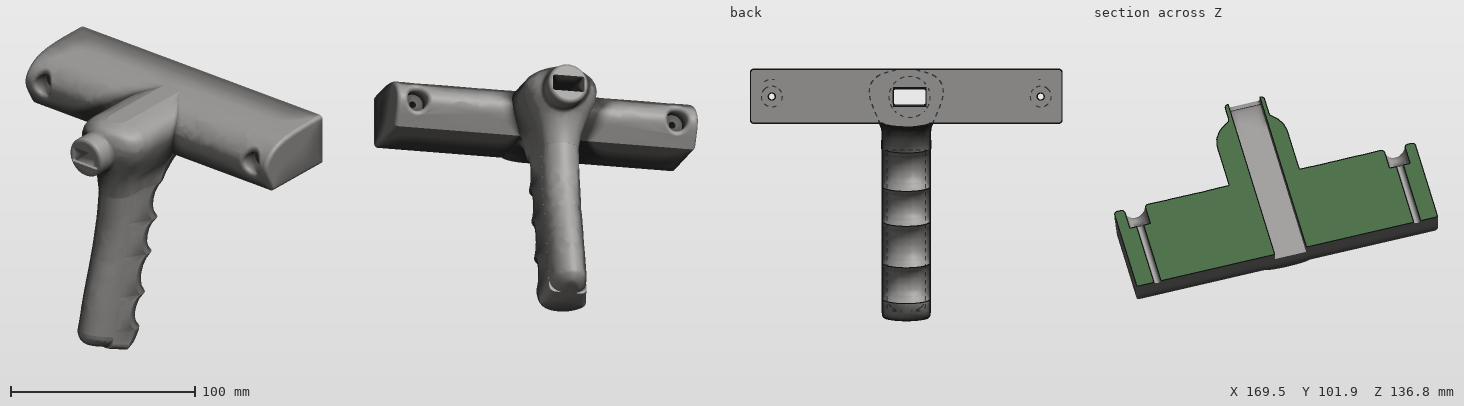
import cadquery as cq
import math


BAR_LENGTH = 169.5
BAR_FLAT_TOP = 6.1
BAR_NOSE_Y = -48.6
BAR_NOSE_Z = -13.9
BAR_CURVE = ((-25.3, -0.5), (-35.0, -2.0), (-44.4, -6.8), (BAR_NOSE_Y, BAR_NOSE_Z), (-46.6, -21.5))
BAR_CORNER = (-42.0, -29.5)
BAR_CORNER_DIRECTION = (0.5, -0.8)
BAR_END_ROUND = 2.0

SCREW_X = 73.0
SCREW_Z = -15.0
SCREW_BORE = 3.7
SCREW_HEAD = 11.4
SCREW_FLOOR_Y = -36.6
SCREW_MOUTH_ROUND = 2.0

HUB_BOTTOM_Z = -44.0
HUB_BOTTOM_BACK_Y = -53.2
HUB_BACK_SLOPE = 0.75
HUB_STATIONS = (
    (HUB_BOTTOM_Z, 10.5, -72.2, 10.0),
    (-36.1, 11.9, -72.2, 10.3),
    (-29.5, 14.2, -72.5, 11.7),
    (-20.3, 18.3, -73.2, 15.1),
    (-14.2, 20.0, -73.7, 15.8),
    (-8.1, 19.3, -73.4, 15.6),
    (-2.7, 13.5, -72.2, 14.5),
    (-0.5, 5.8, -70.9, 6.5),
)

SNOUT_X = -1.9
SNOUT_Z = -15.1
SNOUT_RADIUS = 11.2
SNOUT_BACK_Y = -67.8
SNOUT_FRONT_Y = -98.1
SNOUT_ROUND = 2.2
NECK_ROUND = 2.5
NECK_Y = -86.5
SLOT_WIDTH = 17.6
SLOT_HEIGHT = 8.6
SLOT_CORNER = 1.0
SLOT_LIP = 2.2
CAVITY_HEIGHT = 10.3

GRIP_HALF = 13.0
SPINE_HALF = 10.5
SPINE_TOP_Y = -71.7
SPINE_LEAN = 16.1
SPINE_LEAN_POWER = 1.3
SPINE_BOTTOM_Z = -126.8
SPINE_OVERLAP = 5.1
SPINE_DEPTHS = (10.5, 10.7, 11.4, 12.7, 14.4, 15.5, 15.6, 13.5)
SPINE_SPACING = 12.7

FINGER_ROUND = 12.5
FINGER_TILT = 12.0
RIDGES = ((-40.8, -45.6), (-46.0, -66.5), (-51.0, -85.5), (-56.6, -108.0), (-61.4, -127.5))
GROOVE_DEPTH = 6.1
HEEL_TIP = (-71.7, -136.8)
HEEL_BULGE = 2.0
FAIRING_START = (-15.3, -31.5)
FAIRING_HOLLOW = 3.7
LOFT_STEPS = 6

SOLE_BACK = (-76.6, -136.6)
SOLE_FRONT = (-91.9, -130.9)
SOLE_MIDDLE = (-87.5, -132.5)
SOLE_TOE = (0, -98.3, -128.5)
SOLE_SIDE_ROUND = 3.4
SOLE_NOSE_ROUND = 7.6
SOLE_BLOCK = 101.7


def edges_near(body, centre, reach):
    """Edges whose centres lie within a cube around the given point."""
    low = tuple(value - reach for value in centre)
    high = tuple(value + reach for value in centre)
    return body.edges(cq.selectors.BoxSelector(low, high))


def make_bar():
    profile = (
        cq.Workplane("YZ", origin=(-BAR_LENGTH / 2, 0, 0))
        .moveTo(0, 0)
        .lineTo(-BAR_FLAT_TOP, 0)
        .spline(
            [*BAR_CURVE, BAR_CORNER],
            tangents=[(-1, 0), BAR_CORNER_DIRECTION],
            includeCurrent=True,
        )
        .lineTo(0, BAR_CORNER[1])
        .close()
    )
    bar = profile.extrude(BAR_LENGTH)
    return bar.faces("<X or >X").edges("not >Y").fillet(BAR_END_ROUND)


def cut_screw_hole(body, x):
    plane = cq.Workplane("XZ", origin=(x, 0, SCREW_Z))
    bore = plane.circle(SCREW_BORE / 2).extrude(-SNOUT_FRONT_Y)
    head = (
        plane.workplane(offset=-SCREW_FLOOR_Y)
        .circle(SCREW_HEAD / 2)
        .extrude(SCREW_FLOOR_Y - SNOUT_FRONT_Y)
    )
    body = body.cut(bore).cut(head)
    return edges_near(body, (x, BAR_NOSE_Y, SCREW_Z), SCREW_HEAD / 4).fillet(SCREW_MOUTH_ROUND)


def rounded_section(half_width, shoulder_y, depth, back_y, back_half_width):
    """Outline in the XY plane with straight sides and a half-elliptical nose facing -Y."""
    centre = cq.Vector(0, shoulder_y, 0)
    up = cq.Vector(0, 0, 1)
    if depth > half_width:
        nose = cq.Edge.makeEllipse(depth, half_width, centre, up, cq.Vector(0, -1, 0), -90, 90)
    else:
        nose = cq.Edge.makeEllipse(half_width, depth, centre, up, cq.Vector(-1, 0, 0), 0, 180)
    back_right = cq.Vector(back_half_width, back_y, 0)
    back_left = cq.Vector(-back_half_width, back_y, 0)
    sides = [
        cq.Edge.makeLine(nose.endPoint(), back_right),
        cq.Edge.makeLine(back_right, back_left),
        cq.Edge.makeLine(back_left, nose.startPoint()),
    ]
    return cq.Wire.assembleEdges([nose, *sides])


def make_hub():
    sections = []
    for z, half_width, shoulder_y, depth in HUB_STATIONS:
        back_y = HUB_BOTTOM_BACK_Y + HUB_BACK_SLOPE * (z - HUB_BOTTOM_Z)
        back_half = max(half_width, GRIP_HALF) if z < BAR_NOSE_Z else half_width
        section = rounded_section(half_width, shoulder_y, depth, back_y, back_half)
        sections.append(section.moved(cq.Location(cq.Vector(0, 0, z))))
    return cq.Workplane(cq.Solid.makeLoft(sections))


def add_snout(hub):
    snout = (
        cq.Workplane("XZ", origin=(SNOUT_X, SNOUT_BACK_Y, SNOUT_Z))
        .circle(SNOUT_RADIUS)
        .extrude(SNOUT_BACK_Y - SNOUT_FRONT_Y)
    )
    body = hub.union(snout.faces("<Y").edges().fillet(SNOUT_ROUND))
    return edges_near(body, (SNOUT_X, NECK_Y, SNOUT_Z), SNOUT_RADIUS / 2).fillet(NECK_ROUND)


def make_slot():
    """Through slot with a short mouth in front of a taller cavity."""
    plane = cq.Workplane("XZ", origin=(SNOUT_X, 0, SNOUT_Z))
    mouth = plane.rect(SLOT_WIDTH, SLOT_HEIGHT).extrude(-SNOUT_FRONT_Y)
    cavity = plane.rect(SLOT_WIDTH, CAVITY_HEIGHT).extrude(-SNOUT_FRONT_Y - SLOT_LIP)
    return mouth.edges("|Y").fillet(SLOT_CORNER).union(cavity)


def spine_y(z):
    """Y of the line where the sides of the grip meet its rounded spine."""
    fraction = max(0, (z - HUB_BOTTOM_Z) / (SPINE_BOTTOM_Z - HUB_BOTTOM_Z))
    return SPINE_TOP_Y - SPINE_LEAN * fraction**SPINE_LEAN_POWER


def make_spine():
    sections = []
    for index, depth in enumerate(SPINE_DEPTHS):
        z = HUB_BOTTOM_Z - index * SPINE_SPACING
        shoulder_y = spine_y(z)
        section = rounded_section(
            SPINE_HALF, shoulder_y, depth, shoulder_y + SPINE_OVERLAP, SPINE_HALF
        )
        sections.append(section.moved(cq.Location(cq.Vector(0, 0, z))))
    return cq.Workplane(cq.Solid.makeLoft(sections))


def finger_section(tip_y, tip_z):
    """Tilted outline with its rounded finger side touching the given point."""
    reach = (tip_y - spine_y(tip_z)) / math.cos(math.radians(FINGER_TILT))
    section = rounded_section(GRIP_HALF, FINGER_ROUND, FINGER_ROUND, reach, SPINE_HALF)
    tilted = section.rotate(cq.Vector(0, 0, 0), cq.Vector(1, 0, 0), FINGER_TILT)
    turned = tilted.rotate(cq.Vector(0, 0, 0), cq.Vector(0, 0, 1), 180)
    return turned.moved(cq.Location(cq.Vector(0, tip_y, tip_z)))


def make_finger_bay(start, end, hollow):
    """Stretch of the grip whose finger side follows an arc, hollowed by the given depth."""
    chord_y = end[0] - start[0]
    chord_z = end[1] - start[1]
    chord = math.hypot(chord_y, chord_z)
    half_angle = 2 * math.atan(2 * hollow / chord)
    radius = chord / (2 * math.sin(half_angle))
    sections = []
    for step in range(LOFT_STEPS + 1):
        angle = half_angle * (2 * step / LOFT_STEPS - 1)
        along = 0.5 + radius * math.sin(angle) / chord
        inward = radius * (math.cos(angle) - math.cos(half_angle)) / chord
        tip_y = start[0] + chord_y * along + chord_z * inward
        tip_z = start[1] + chord_z * along - chord_y * inward
        sections.append(finger_section(tip_y, tip_z))
    return cq.Workplane(cq.Solid.makeLoft(sections))


def make_fairing():
    rise = FINGER_ROUND * math.sin(math.radians(FINGER_TILT))
    run = FINGER_ROUND * math.cos(math.radians(FINGER_TILT))
    start_y, start_z = FAIRING_START
    keel = (
        cq.Workplane("XZ", origin=(0, 0, start_z + rise))
        .ellipse(GRIP_HALF, rise)
        .extrude(run - start_y)
    )
    return keel.union(make_finger_bay(FAIRING_START, RIDGES[0], FAIRING_HOLLOW))


def make_below_sole():
    """Block under the grip whose upper face is the slanted sole."""
    slope = math.degrees(math.atan2(SOLE_FRONT[1] - SOLE_BACK[1], SOLE_BACK[0] - SOLE_FRONT[0]))
    block = cq.Workplane("XY").box(SOLE_BLOCK, SOLE_BLOCK, SOLE_BLOCK, centered=(True, True, False))
    lowered = block.translate((0, 0, -SOLE_BLOCK))
    return lowered.rotate((0, 0, 0), (1, 0, 0), -slope).translate((0, *SOLE_FRONT))


def make_grip():
    below_sole = make_below_sole()
    spine = make_spine().cut(below_sole)
    spine = spine.edges(cq.selectors.NearestToPointSelector(SOLE_TOE)).fillet(SOLE_NOSE_ROUND)
    heel = make_finger_bay(RIDGES[-1], HEEL_TIP, -HEEL_BULGE).cut(below_sole)
    for side in (-GRIP_HALF, GRIP_HALF):
        sole_edge = cq.selectors.NearestToPointSelector((side, *SOLE_MIDDLE))
        heel = heel.edges(sole_edge).fillet(SOLE_SIDE_ROUND)
    grip = spine.union(heel)
    for upper, lower in zip(RIDGES, RIDGES[1:]):
        grip = grip.union(make_finger_bay(upper, lower, GROOVE_DEPTH))
    return grip


bar = make_bar()
for screw_x in (-SCREW_X, SCREW_X):
    bar = cut_screw_hole(bar, screw_x)
result = bar.union(add_snout(make_hub())).union(make_fairing()).union(make_grip())
result = result.cut(make_slot())